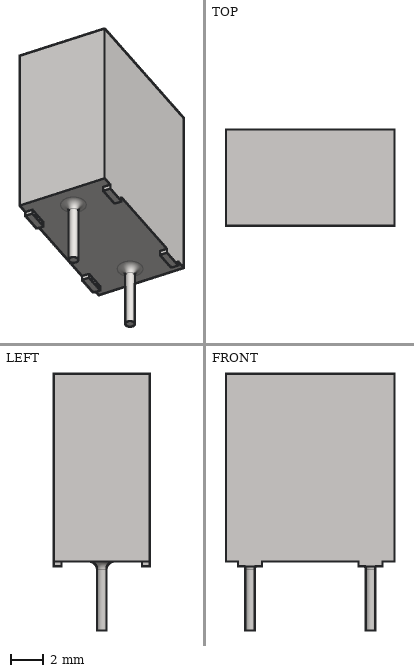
import cadquery as cq

case_length = 10.5
case_width = 6.0
seated_height = 12.0
foot_height = 0.3
foot_length = 1.5
foot_width = 0.5

lead_pitch = 7.5
lead_diameter = 0.6
lead_length = 4.0
flare_radius = 0.5

lead_radius = lead_diameter / 2
flare_outer_radius = lead_radius + flare_radius
lead_end_z = -lead_length
flare_end_z = foot_height - flare_radius
lead_positions = (-lead_pitch / 2, lead_pitch / 2)


def make_case():
    case_height = seated_height - foot_height
    return (
        cq.Workplane("XY")
        .workplane(offset=foot_height)
        .rect(case_length, case_width)
        .extrude(case_height)
    )


def make_feet():
    """Four feet, in line with the leads and flush with the long case sides."""
    foot_spacing = case_width - foot_width
    return (
        cq.Workplane("XY")
        .rarray(lead_pitch, foot_spacing, 2, 2)
        .rect(foot_length, foot_width)
        .extrude(foot_height)
    )


def make_lead(x):
    """A round lead with a concave quarter-circle flare up to the case."""
    profile = (
        cq.Workplane("XZ")
        .moveTo(0, foot_height)
        .lineTo(0, lead_end_z)
        .lineTo(lead_radius, lead_end_z)
        .lineTo(lead_radius, flare_end_z)
        .radiusArc((flare_outer_radius, foot_height), flare_radius)
        .close()
    )
    lead = profile.revolve(360, (0, 0, 0), (0, 1, 0))
    return lead.translate((x, 0, 0))


result = make_case().union(make_feet())
for lead_x in lead_positions:
    result = result.union(make_lead(lead_x))